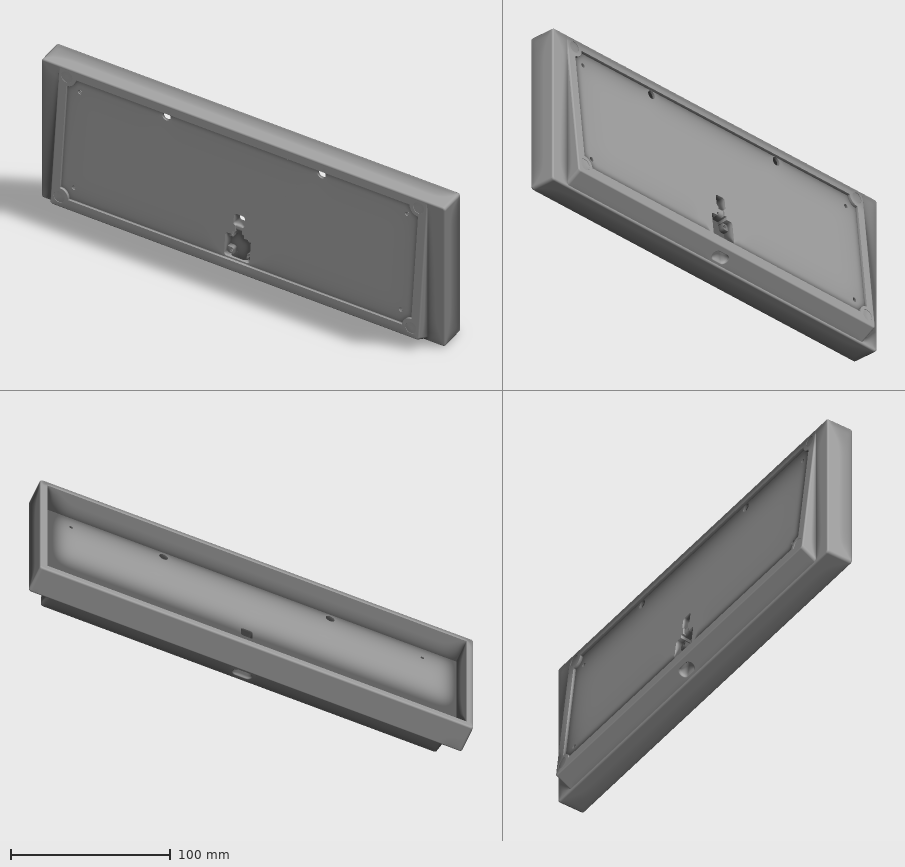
import cadquery as cq
import math


TRAY_WIDTH = 295.7
TRAY_HEIGHT = 110.2
TRAY_DEPTH = 19.1
TRAY_CORNER_FILLET = 2.0
TRAY_RIM_FILLET = 1.2
WALL = 5.0
FLOOR = 3.0

TOTAL_DEPTH = 29.68
WEDGE_WIDTH = 270.3
PANEL_SIDE_FILLET = 1.0
UNDERSIDE_FILLET = 2.0
RIDGE_FILLET = 1.0
PANEL_TILT = 6.0
UNDERSIDE_ANGLE = 30.0
RIDGE_Z = -47.5
WEDGE_OVERLAP = 1.0

RECESS_WIDTH = 257.5
RECESS_HEIGHT = 89.5
RECESS_DEPTH = 2.0
RIDGE_TO_RECESS = 7.1
FOOT_DIAMETER = 8.0
FOOT_DEPTH = 0.3
FOOT_LAND_RADIUS = 6.5

SCREW_SPACING_X = 239.6
SCREW_SPACING_V = 71.4
SCREW_DIAMETER = 2.46
SCREW_DEPTH = 5.0
SCREW_BORE_DIAMETER = 3.0
SCREW_BORE_DEPTH = 1.0

CLEARANCE_DIAMETER = 6.0
CLEARANCE_SPACING = 113.6
CLEARANCE_V = 41.6
CLEARANCE_REACH = 10.0

POCKET_WIDTH = 18.7
POCKET_HEIGHT = 17.0
POCKET_DEPTH = 7.7
POCKET_CORNER = 1.8
POCKET_V = -35.1
TAB_WIDTH = 8.6
TAB_TOP_V = -24.2

POST_SIZE = 4.5
POST_CORNER = 1.7
POST_TOP_DEPTH = 4.0
POST_HOLE_SPACING = 12.4
POST_HOLE_DIAMETER = 1.57
POST_HOLE_DEPTH = 2.5
POST_BORE_DIAMETER = 2.46
POST_BORE_DEPTH = 0.5

WINDOW_WIDTH = 8.0
WINDOW_TOP_V = -10.6
WINDOW_BOTTOM_V = -19.3
WINDOW_CORNER = 1.7
NECK_WIDTH = 5.2
SADDLE_DEPTH = 1.0
SADDLE_WINDOW_RADIUS = 1.2
SADDLE_POCKET_RADIUS = 2.6
SADDLE_HEIGHT = 3.0

SLOT_WIDTH = 12.6
SLOT_THICKNESS = 6.0
SLOT_REACH = 22.0
SLOT_MOUTH_FILLET = 0.5

TILT = math.radians(PANEL_TILT)
UNDERSIDE = math.radians(UNDERSIDE_ANGLE)

RIDGE_HALF_TURN = (math.pi / 2 - UNDERSIDE + TILT) / 2
RIDGE_EXCESS = RIDGE_FILLET * (math.cos(RIDGE_HALF_TURN - TILT) / math.cos(RIDGE_HALF_TURN) - 1)
RIDGE_Y = -TOTAL_DEPTH - RIDGE_EXCESS


def panel_plane(depth):
    """Plane parallel to the panel at a depth below it, centred on the recess, +v up the slope."""
    up_slope = RIDGE_TO_RECESS + RECESS_HEIGHT / 2
    y = RIDGE_Y + up_slope * math.sin(TILT) + depth * math.cos(TILT)
    z = RIDGE_Z + up_slope * math.cos(TILT) - depth * math.sin(TILT)
    return cq.Plane(
        origin=(0, y, z), xDir=(1, 0, 0), normal=(0, -math.cos(TILT), math.sin(TILT))
    )


PANEL_NORMAL_EDGES = cq.selectors.ParallelDirSelector(panel_plane(0).zDir)


def on_panel(depth):
    return cq.Workplane(panel_plane(depth))


def corners(width, height):
    return [(sx * width / 2, sv * height / 2) for sx in (-1, 1) for sv in (-1, 1)]


def tray():
    block = cq.Workplane("XY").box(TRAY_WIDTH, TRAY_DEPTH, TRAY_HEIGHT)
    block = block.edges("|Y").fillet(TRAY_CORNER_FILLET)
    block = block.faces("<Y or >Y").edges().fillet(TRAY_RIM_FILLET)
    return block.translate((0, -TRAY_DEPTH / 2, 0))


def prism(profile, side_fillet):
    """Prism across the wedge width, rounded along the side edges of its one sloped face."""
    solid = cq.Workplane("YZ").polyline(profile).close().extrude(WEDGE_WIDTH / 2, both=True)
    return solid.faces("<X or >X").edges("not(|Y or |Z)").fillet(side_fillet)


def wedge():
    """Common part of a prism under the panel and one above the underside, rounded at the ridge."""
    front_y = -TRAY_DEPTH
    inner_y = front_y + WEDGE_OVERLAP
    run = front_y - RIDGE_Y
    top_z = RIDGE_Z + run / math.tan(TILT)
    bottom_z = RIDGE_Z - run * math.tan(UNDERSIDE)
    far_y = RIDGE_Y - (RIDGE_Z - bottom_z) * math.tan(TILT)
    far_z = RIDGE_Z + run * math.tan(UNDERSIDE)
    panel_prism = prism(
        [(inner_y, top_z), (front_y, top_z), (far_y, bottom_z), (inner_y, bottom_z)],
        PANEL_SIDE_FILLET,
    )
    underside_prism = prism(
        [
            (inner_y, top_z),
            (RIDGE_Y - run, top_z),
            (RIDGE_Y - run, far_z),
            (front_y, bottom_z),
            (inner_y, bottom_z),
        ],
        UNDERSIDE_FILLET,
    )
    return panel_prism.intersect(underside_prism).edges("|X").edges("<Y").fillet(RIDGE_FILLET)


def cavity():
    depth = TRAY_DEPTH - FLOOR
    block = cq.Workplane("XY").box(TRAY_WIDTH - 2 * WALL, depth, TRAY_HEIGHT - 2 * WALL)
    return block.translate((0, -depth / 2, 0))


def recess():
    foot_centres = corners(RECESS_WIDTH, RECESS_HEIGHT)
    field = on_panel(0).rect(RECESS_WIDTH, RECESS_HEIGHT).extrude(-RECESS_DEPTH)
    lands = on_panel(0).pushPoints(foot_centres).circle(FOOT_LAND_RADIUS).extrude(-RECESS_DEPTH)
    feet = on_panel(0).pushPoints(foot_centres).circle(FOOT_DIAMETER / 2).extrude(-FOOT_DEPTH)
    return field.cut(lands).union(feet)


def stepped_holes(floor_depth, points, bore_diameter, bore_depth, diameter, depth):
    floor = on_panel(floor_depth).pushPoints(points)
    bore = floor.circle(bore_diameter / 2).extrude(-bore_depth)
    drill = floor.circle(diameter / 2).extrude(-depth)
    return bore.union(drill)


def clearance_holes():
    points = [(side * CLEARANCE_SPACING / 2, CLEARANCE_V) for side in (-1, 1)]
    floor = on_panel(RECESS_DEPTH).pushPoints(points)
    return floor.circle(CLEARANCE_DIAMETER / 2).extrude(-CLEARANCE_REACH)


def board_pocket():
    floor = on_panel(RECESS_DEPTH)
    pocket = floor.center(0, POCKET_V).rect(POCKET_WIDTH, POCKET_HEIGHT).extrude(-POCKET_DEPTH)
    pocket = pocket.edges(PANEL_NORMAL_EDGES).fillet(POCKET_CORNER)
    tab_height = TAB_TOP_V - POCKET_V
    tab = on_panel(RECESS_DEPTH).center(0, POCKET_V + tab_height / 2)
    pocket = pocket.union(tab.rect(TAB_WIDTH, tab_height).extrude(-POCKET_DEPTH))
    return pocket.cut(board_posts())


def board_posts():
    post_centres = [(x, v + POCKET_V) for x, v in corners(POCKET_WIDTH, POCKET_HEIGHT)]
    top = on_panel(RECESS_DEPTH + POST_TOP_DEPTH).pushPoints(post_centres)
    posts = top.rect(2 * POST_SIZE, 2 * POST_SIZE).extrude(POST_TOP_DEPTH - POCKET_DEPTH)
    posts = posts.edges(PANEL_NORMAL_EDGES).fillet(POST_CORNER)
    hole_centres = [(x, v + POCKET_V) for x, v in corners(POST_HOLE_SPACING, POST_HOLE_SPACING)]
    holes = stepped_holes(
        RECESS_DEPTH + POST_TOP_DEPTH,
        hole_centres,
        POST_BORE_DIAMETER,
        POST_BORE_DEPTH,
        POST_HOLE_DIAMETER,
        POST_HOLE_DEPTH,
    )
    return posts.cut(holes)


def cable_window():
    height = WINDOW_TOP_V - WINDOW_BOTTOM_V
    centre_v = (WINDOW_TOP_V + WINDOW_BOTTOM_V) / 2
    window = on_panel(RECESS_DEPTH).center(0, centre_v).rect(WINDOW_WIDTH, height).extrude(-TRAY_DEPTH)
    return window.edges(PANEL_NORMAL_EDGES).fillet(WINDOW_CORNER)


def cable_neck():
    """Groove from window to pocket whose floor is a saddle rounded on both sides."""
    length = WINDOW_BOTTOM_V - TAB_TOP_V
    centre_v = (WINDOW_BOTTOM_V + TAB_TOP_V) / 2
    groove_depth = SADDLE_DEPTH + SADDLE_HEIGHT
    groove = on_panel(RECESS_DEPTH).center(0, centre_v).rect(NECK_WIDTH, length).extrude(-groove_depth)
    saddle = (
        cq.Workplane("XY")
        .box(NECK_WIDTH, length, SADDLE_HEIGHT)
        .edges("|X and >Z and >Y")
        .fillet(SADDLE_WINDOW_RADIUS)
        .edges("|X and >Z and <Y")
        .fillet(SADDLE_POCKET_RADIUS)
    )
    centre_depth = RECESS_DEPTH + SADDLE_DEPTH + SADDLE_HEIGHT / 2
    saddle_place = cq.Location(panel_plane(centre_depth)) * cq.Location((0, centre_v, 0))
    return groove.cut(cq.Workplane(saddle.val().moved(saddle_place)))


def plug_slot():
    """Stadium slot running parallel to the panel, level with the pocket floor."""
    pocket = panel_plane(RECESS_DEPTH + POCKET_DEPTH - SLOT_THICKNESS / 2)
    start = pocket.toWorldCoords((0, POCKET_V - POCKET_HEIGHT / 2, 0))
    down_slope = cq.Plane(origin=start, xDir=(1, 0, 0), normal=pocket.yDir * -1)
    return cq.Workplane(down_slope).slot2D(SLOT_WIDTH, SLOT_THICKNESS).extrude(SLOT_REACH)


def round_slot_mouth(case):
    """Round the rim of the plug slot, the only opening in the underside."""
    outward = cq.Vector(0, -math.sin(UNDERSIDE), -math.cos(UNDERSIDE))
    underside = case.faces(cq.selectors.ParallelDirSelector(outward)).val()
    mouth_edges = underside.innerWires()[0].Edges()
    return case.newObject(mouth_edges).fillet(SLOT_MOUTH_FILLET)


screw_holes = stepped_holes(
    RECESS_DEPTH,
    corners(SCREW_SPACING_X, SCREW_SPACING_V),
    SCREW_BORE_DIAMETER,
    SCREW_BORE_DEPTH,
    SCREW_DIAMETER,
    SCREW_DEPTH,
)
cutters = [
    cavity(),
    recess(),
    screw_holes,
    clearance_holes(),
    board_pocket(),
    cable_window(),
    cable_neck(),
    plug_slot(),
]

case = tray().union(wedge())
for cutter in cutters:
    case = case.cut(cutter)
result = round_slot_mouth(case)